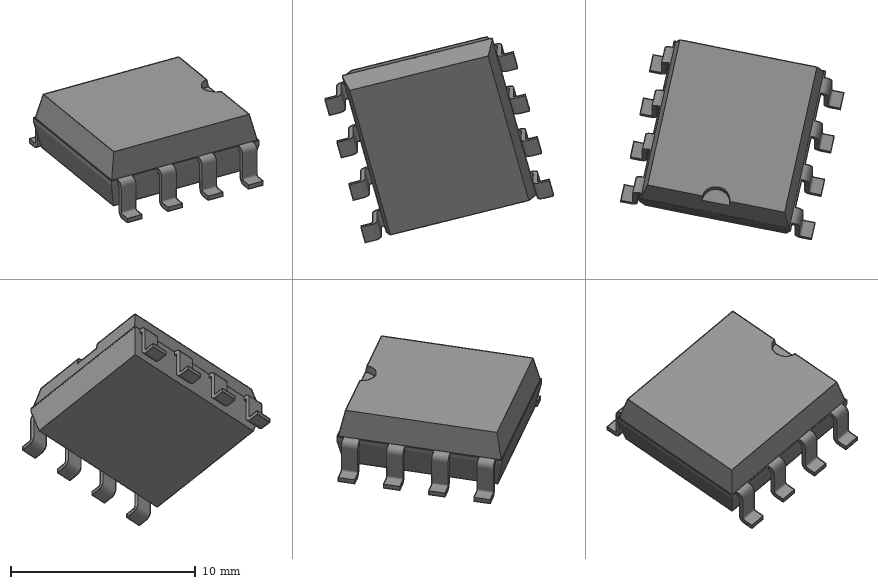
import cadquery as cq

overall_width = 10.57
body_length = 9.27
overall_height = 3.68

body_width = 8.4
standoff = 0.4
draft_inset = 0.32
step_x = 0.08
step_y = 0.06

lead_thickness = 0.25
lead_width = 0.92
lead_pitch = 2.54
leads_per_side = 4
lead_top = 2.16
shank_offset = 0.66
inner_bend = 0.12
outer_bend = inner_bend + lead_thickness

notch_radius = 0.76
notch_center_y = 4.33
notch_depth = 0.44

band_bottom = lead_top - lead_thickness


def drafted_half(width, length, base_z, end_z):
    """Block that tapers evenly from a base rectangle to a smaller end rectangle."""
    return (
        cq.Workplane("XY", origin=(0, 0, base_z))
        .rect(width, length)
        .workplane(offset=end_z - base_z)
        .rect(width - 2 * draft_inset, length - 2 * draft_inset)
        .loft(ruled=True)
    )


def make_body():
    """Lower half, straight parting band and stepped upper half, with the notch cut."""
    band = (
        cq.Workplane("XY", origin=(0, 0, band_bottom))
        .rect(body_width, body_length)
        .extrude(lead_thickness)
    )
    lower = drafted_half(body_width, body_length, band_bottom, standoff)
    upper = drafted_half(body_width - 2 * step_x, body_length - 2 * step_y, lead_top, overall_height)
    notch = (
        cq.Workplane("XY", origin=(0, notch_center_y, overall_height - notch_depth))
        .circle(notch_radius)
        .extrude(notch_depth)
    )
    return band.union(lower).union(upper.cut(notch))


def make_left_lead(center_y):
    """Constant-thickness strip: foot, bend, vertical shank, bend, root inside the band."""
    tip_x = -overall_width / 2
    shank_outer_x = tip_x + shank_offset
    shank_inner_x = shank_outer_x + lead_thickness
    foot_end_x = shank_outer_x - inner_bend
    root_start_x = shank_inner_x + inner_bend
    root_end_x = -body_width / 2 + lead_thickness
    lower_bend_z = lead_thickness + inner_bend
    upper_bend_z = lead_top - outer_bend

    profile = (
        cq.Workplane("XZ", origin=(0, center_y, 0))
        .moveTo(tip_x, 0)
        .lineTo(foot_end_x, 0)
        .radiusArc((shank_inner_x, lower_bend_z), -outer_bend)
        .lineTo(shank_inner_x, upper_bend_z)
        .radiusArc((root_start_x, band_bottom), inner_bend)
        .lineTo(root_end_x, band_bottom)
        .lineTo(root_end_x, lead_top)
        .lineTo(root_start_x, lead_top)
        .radiusArc((shank_outer_x, upper_bend_z), -outer_bend)
        .lineTo(shank_outer_x, lower_bend_z)
        .radiusArc((foot_end_x, lead_thickness), inner_bend)
        .lineTo(tip_x, lead_thickness)
        .close()
    )
    return profile.extrude(lead_width / 2, both=True)


result = make_body()
for index in range(leads_per_side):
    lead_y = (index - (leads_per_side - 1) / 2) * lead_pitch
    left_lead = make_left_lead(lead_y)
    result = result.union(left_lead).union(left_lead.mirror("YZ"))